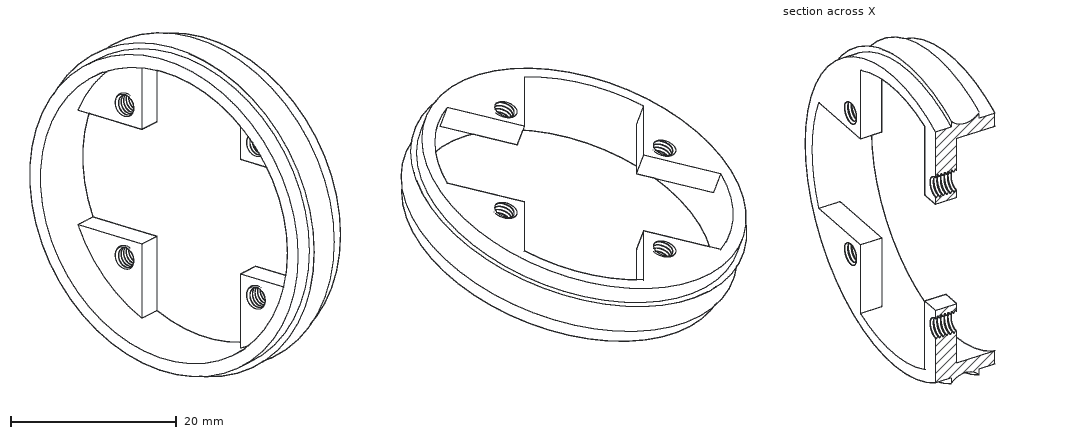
import cadquery as cq
import math

RING_WIDTH = 8.38
BORE_DIAMETER = 37.59
SHOULDER_DIAMETER = 40.89
RIM_DIAMETER = 42.38

GROOVE_WIDTH = 3.94
GROOVE_FLOOR_DIAMETER = 40.7

LUG_THICKNESS = 3.0
LUG_CORNER_OFFSET = 7.5
HOLE_OFFSET = 10.0

THREAD_MAJOR_DIAMETER = 3.15
THREAD_PITCH = 0.5
THREAD_FLANK_ANGLE = 30.0
THREAD_CREST_FLAT = THREAD_PITCH / 8
THREAD_ROOT_FLAT = THREAD_PITCH / 8
THREAD_START_ANGLE = 165.0
CUT_OVERLAP = 0.02

HALF_WIDTH = RING_WIDTH / 2
BORE_RADIUS = BORE_DIAMETER / 2
LUG_FRONT_Y = HALF_WIDTH - LUG_THICKNESS


def make_ring():
    """Revolve the ring section, drawn in the XY plane, about the Y axis."""
    shoulder = SHOULDER_DIAMETER / 2
    rim = RIM_DIAMETER / 2
    groove_edge = GROOVE_WIDTH / 2
    return (
        cq.Workplane("XY")
        .moveTo(BORE_RADIUS, -HALF_WIDTH)
        .lineTo(shoulder, -HALF_WIDTH)
        .lineTo(shoulder, -groove_edge)
        .lineTo(rim, -groove_edge)
        .threePointArc((GROOVE_FLOOR_DIAMETER / 2, 0), (rim, groove_edge))
        .lineTo(shoulder, groove_edge)
        .lineTo(shoulder, HALF_WIDTH)
        .lineTo(BORE_RADIUS, HALF_WIDTH)
        .close()
        .revolve(360, (0, 0, 0), (0, 1, 0))
    )


def make_lug(x_sign, z_sign):
    """Square-cornered lug that reaches from its inner corner out into the ring wall."""
    outer_radius = (BORE_RADIUS + GROOVE_FLOOR_DIAMETER / 2) / 2
    reach = math.sqrt(outer_radius**2 - LUG_CORNER_OFFSET**2)
    diagonal = outer_radius / math.sqrt(2)
    return (
        cq.Workplane("XZ", origin=(0, LUG_FRONT_Y, 0))
        .moveTo(x_sign * LUG_CORNER_OFFSET, z_sign * LUG_CORNER_OFFSET)
        .lineTo(x_sign * reach, z_sign * LUG_CORNER_OFFSET)
        .threePointArc(
            (x_sign * diagonal, z_sign * diagonal),
            (x_sign * LUG_CORNER_OFFSET, z_sign * reach),
        )
        .close()
        .extrude(-LUG_THICKNESS)
    )


def make_tap():
    """Threaded cutter along Y, centred on the Y axis and longer than the lug is thick."""
    flank_slope = math.tan(math.radians(THREAD_FLANK_ANGLE))
    depth = (THREAD_PITCH - THREAD_CREST_FLAT - THREAD_ROOT_FLAT) / 2 / flank_slope
    major_radius = THREAD_MAJOR_DIAMETER / 2
    minor_radius = major_radius - depth
    length = LUG_THICKNESS + 2 * THREAD_PITCH

    mouth_radius = minor_radius - CUT_OVERLAP
    half_mouth = THREAD_ROOT_FLAT / 2 + (depth + CUT_OVERLAP) * flank_slope
    half_root = THREAD_ROOT_FLAT / 2
    helix = cq.Wire.makeHelix(THREAD_PITCH, length, minor_radius)
    groove = (
        cq.Workplane("XZ")
        .moveTo(mouth_radius, -half_mouth)
        .lineTo(major_radius, -half_root)
        .lineTo(major_radius, half_root)
        .lineTo(mouth_radius, half_mouth)
        .close()
        .sweep(cq.Workplane(helix), isFrenet=True)
    )
    core_length = length + 2 * THREAD_PITCH
    core = cq.Workplane("XY", origin=(0, 0, -THREAD_PITCH)).circle(minor_radius).extrude(core_length)
    return (
        core.union(groove)
        .rotate((0, 0, 0), (0, 0, 1), THREAD_START_ANGLE)
        .rotate((0, 0, 0), (1, 0, 0), -90)
        .translate((0, LUG_FRONT_Y - THREAD_PITCH, 0))
    )


result = make_ring()
tap = make_tap()
for x_side in (-1, 1):
    for z_side in (-1, 1):
        result = result.union(make_lug(x_side, z_side))
        result = result.cut(tap.translate((x_side * HOLE_OFFSET, 0, z_side * HOLE_OFFSET)))